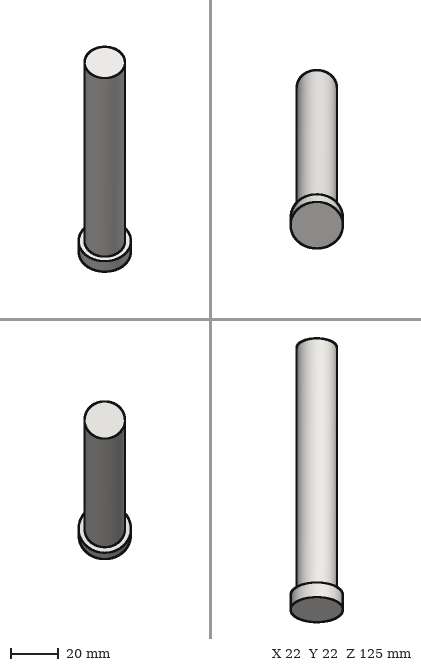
import cadquery as cq

total_length = 125.0
head_diameter = 22.0
head_height = 7.0
shank_diameter = 17.0

head = cq.Workplane("XY").circle(head_diameter / 2).extrude(head_height)
shank = cq.Workplane("XY").circle(shank_diameter / 2).extrude(total_length)

result = head.union(shank)